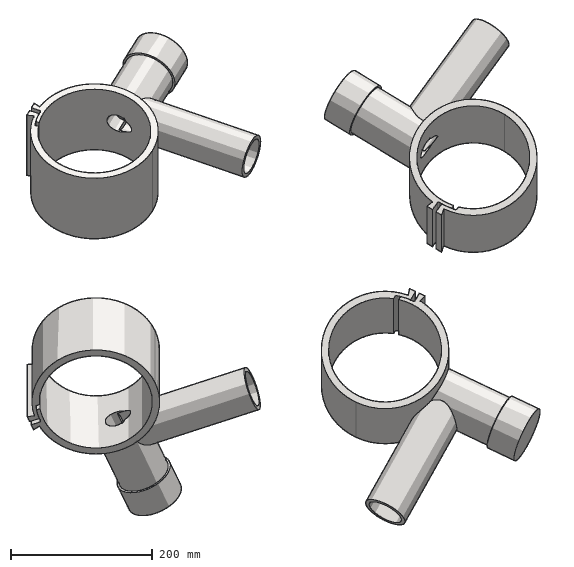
import cadquery as cq
import math

RING_HEIGHT = 128.0
RING_INNER_RADIUS = 80.0
RING_OUTER_RADIUS = 90.5

LUG_FACE_X = -99.95
LUG_OUTER_Y = 12.5
LUG_ROOT_Y = 9.7
SLOT_HALF_WIDTH = 3.0
SLOT_CORNER_RADIUS = 2.0
TONGUE_OUTER_RADIUS = 85.0
RECESS_RADIUS = 85.25
TONGUE_END_Y = -18.4
RECESS_END_Y = -25.3
RECESS_CORNER_RADIUS = 2.5
GAP_REACH_INTO_BORE = 10.0

STEM_RADIUS = 37.5
CAP_RADIUS = 40.75
CAP_START_Y = 183.6
CAP_SHOULDER_Y = 226.6
CAP_TOP_Y = 230.87

BRANCH_AXIS_Y = 102.4
BRANCH_RADIUS = 31.5
BRANCH_WALL = 5.8
BRANCH_BORE_RADIUS = BRANCH_RADIUS - BRANCH_WALL
BRANCH_BORE_START_X = 0.0
BRANCH_END_X = 198.0

TAP_RADIUS = 16.6


def base_plane():
    """XY workplane at the bottom of the ring, which is centred on Z = 0."""
    return cq.Workplane("XY", origin=(0, 0, -RING_HEIGHT / 2))


def upright_cylinder(radius):
    """Cylinder on the Z axis, as tall as the ring."""
    return base_plane().circle(radius).extrude(RING_HEIGHT)


def cylinder_along_x(radius, start_x, end_x):
    """Cylinder on the branch axis."""
    plane = cq.Workplane("YZ", origin=(start_x, BRANCH_AXIS_Y, 0))
    return plane.circle(radius).extrude(end_x - start_x)


def cylinder_along_y(radius, start_y, end_y):
    """Cylinder on the Y axis."""
    plane = cq.Workplane("XZ", origin=(0, start_y, 0))
    return plane.circle(radius).extrude(start_y - end_y)


def point_on_circle(radius, y):
    """Point at height y on the -X side of a circle about the ring axis."""
    return (-math.sqrt(radius**2 - y**2), y)


def round_upright_edge(solid, corner, radius):
    """Fillet the vertical edge that stands on the given XY corner."""
    edge_point = (corner[0], corner[1], 0)
    return solid.edges("|Z").edges(cq.NearestToPointSelector(edge_point)).fillet(radius)


def make_lugs():
    """Two tapered lugs, before the slot between them is cut."""
    root_x = point_on_circle(RING_OUTER_RADIUS, LUG_ROOT_Y)[0]
    inside_x = -(RING_INNER_RADIUS + RING_OUTER_RADIUS) / 2
    outline = [
        (LUG_FACE_X, LUG_OUTER_Y),
        (root_x, LUG_ROOT_Y),
        (inside_x, LUG_ROOT_Y),
        (inside_x, -LUG_ROOT_Y),
        (root_x, -LUG_ROOT_Y),
        (LUG_FACE_X, -LUG_OUTER_Y),
    ]
    return base_plane().polyline(outline).close().extrude(RING_HEIGHT)


def make_joint_gap():
    """Slot between the lugs, running on around the tongue into the recess below it."""
    inside_x = -RING_INNER_RADIUS + GAP_REACH_INTO_BORE
    slot_corner = point_on_circle(TONGUE_OUTER_RADIUS, SLOT_HALF_WIDTH)
    tongue_tip = point_on_circle(TONGUE_OUTER_RADIUS, TONGUE_END_Y)
    recess_corner = point_on_circle(RECESS_RADIUS, RECESS_END_Y)
    recess_start = point_on_circle(RECESS_RADIUS, -SLOT_HALF_WIDTH)
    tongue_middle = point_on_circle(TONGUE_OUTER_RADIUS, (SLOT_HALF_WIDTH + TONGUE_END_Y) / 2)
    recess_middle = point_on_circle(RECESS_RADIUS, (RECESS_END_Y - SLOT_HALF_WIDTH) / 2)
    gap = (
        base_plane()
        .moveTo(LUG_FACE_X, -SLOT_HALF_WIDTH)
        .lineTo(LUG_FACE_X, SLOT_HALF_WIDTH)
        .lineTo(*slot_corner)
        .threePointArc(tongue_middle, tongue_tip)
        .lineTo(inside_x, TONGUE_END_Y)
        .lineTo(inside_x, RECESS_END_Y)
        .lineTo(*recess_corner)
        .threePointArc(recess_middle, recess_start)
        .close()
        .extrude(RING_HEIGHT)
    )
    gap = round_upright_edge(gap, slot_corner, SLOT_CORNER_RADIUS)
    return round_upright_edge(gap, recess_corner, RECESS_CORNER_RADIUS)


def make_cap():
    """Cap on the stem end: a cylinder closed by a shallow spherical dome."""
    dome_height = CAP_TOP_Y - CAP_SHOULDER_Y
    dome_radius = (CAP_RADIUS**2 + dome_height**2) / (2 * dome_height)
    arc_x = CAP_RADIUS / 2
    arc_y = CAP_TOP_Y - dome_radius + math.sqrt(dome_radius**2 - arc_x**2)
    return (
        cq.Workplane("XY")
        .moveTo(0, CAP_START_Y)
        .lineTo(CAP_RADIUS, CAP_START_Y)
        .lineTo(CAP_RADIUS, CAP_SHOULDER_Y)
        .threePointArc((arc_x, arc_y), (0, CAP_TOP_Y))
        .close()
        .revolve(360, (0, 0, 0), (0, 1, 0))
    )


ring = upright_cylinder(RING_OUTER_RADIUS)
stem = cylinder_along_y(STEM_RADIUS, 0, CAP_START_Y)
branch = cylinder_along_x(BRANCH_RADIUS, 0, BRANCH_END_X)
body = ring.union(make_lugs()).union(stem).union(make_cap()).union(branch)

body = body.cut(upright_cylinder(RING_INNER_RADIUS))
body = body.cut(make_joint_gap())
body = body.cut(cylinder_along_x(BRANCH_BORE_RADIUS, BRANCH_BORE_START_X, BRANCH_END_X))
body = body.cut(cylinder_along_y(TAP_RADIUS, 0, BRANCH_AXIS_Y))

result = body